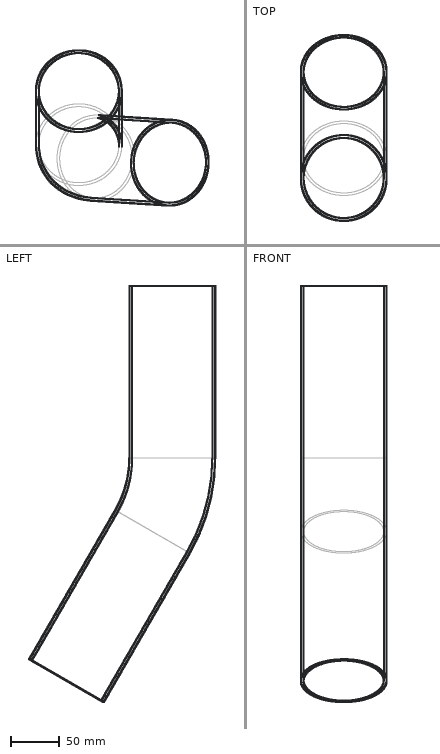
import cadquery as cq
import math

outer_diameter = 88.9
inner_diameter = 82.8
bend_angle = 30.0
bend_radius = 152.4
leg_length = 177.8

angle = math.radians(bend_angle)


def bend_point(turn):
    """Centreline point (y, z) after turning by the given angle in radians."""
    return (bend_radius * (1 - math.cos(turn)), -bend_radius * math.sin(turn))


bend_middle = bend_point(angle / 2)
bend_end = bend_point(angle)
lower_end = (
    bend_end[0] + leg_length * math.sin(angle),
    bend_end[1] - leg_length * math.cos(angle),
)

centreline = (
    cq.Workplane("YZ")
    .moveTo(0, leg_length)
    .lineTo(0, 0)
    .threePointArc(bend_middle, bend_end)
    .lineTo(*lower_end)
)

result = (
    cq.Workplane("XY")
    .workplane(offset=leg_length)
    .circle(outer_diameter / 2)
    .circle(inner_diameter / 2)
    .sweep(centreline)
    .solids()
)